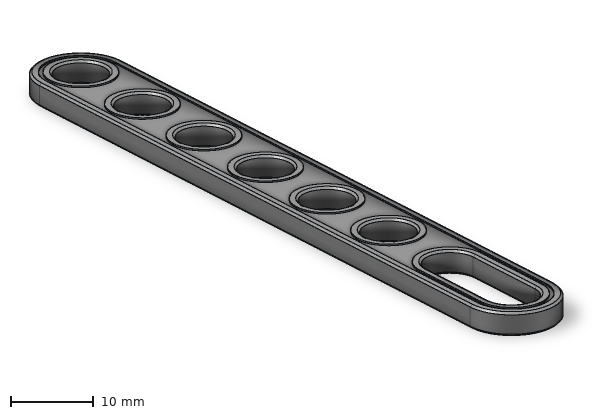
import cadquery as cq

length = 100.0
width = 12.5
thickness = width / 4
pitch = width
round_hole_count = 6
hole_diameter = 7.0
collar_diameter = 9.2
rim_width = 1.1
recess_depth = 0.2
edge_chamfer = 0.3

first_hole_x = (width - length) / 2
hole_centers = [(first_hole_x + i * pitch, 0) for i in range(round_hole_count)]
slot_travel = pitch
slot_center = ((length - width - slot_travel) / 2, 0)


def stadium(base_z, height, outline_width):
    """Round-ended bar, concentric with the outer outline of the link."""
    outline_length = length - width + outline_width
    plane = cq.Workplane("XY").workplane(offset=base_z)
    return plane.slot2D(outline_length, outline_width).extrude(height)


def openings(base_z, height, diameter):
    """Solids filling all round holes and the end slot, at the given diameter."""
    plane = cq.Workplane("XY").workplane(offset=base_z)
    holes = plane.pushPoints(hole_centers).circle(diameter / 2).extrude(height)
    slot = plane.center(*slot_center).slot2D(slot_travel + diameter, diameter).extrude(height)
    return holes.union(slot)


plate = stadium(0, thickness, width).cut(openings(0, thickness, hole_diameter))
plate = plate.faces("<Z or >Z").edges().chamfer(edge_chamfer)

recess_floor = thickness - recess_depth
recess = stadium(recess_floor, recess_depth, width - 2 * rim_width)
recess = recess.cut(openings(recess_floor, recess_depth, collar_diameter))

result = plate.cut(recess)